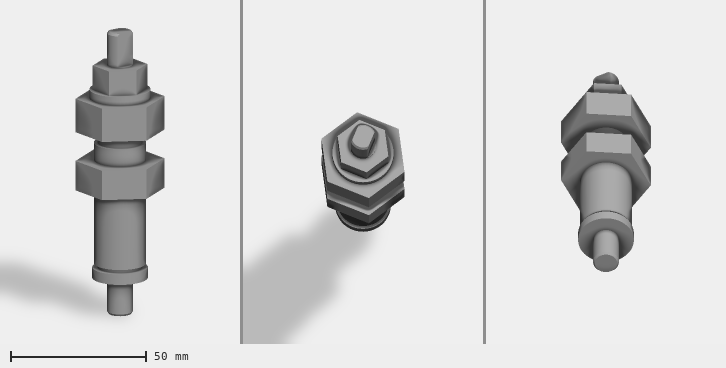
import cadquery as cq
import math

total_height = 108.0

collar_bottom = 13.7
collar_top = 17.7
thread_bottom = 19.2
locknut_bottom = 47.5
locknut_top = 58.7
thread_top = 65.3
head_bottom = 69.7
head_top = 82.5
disc_top = 85.7
small_hex_top = 95.0

shaft_diameter = 9.5
collar_diameter = 20.5
thread_diameter = 19.2
neck_diameter = 16.6
disc_diameter = 22.5
nut_across_flats = 28.6
small_hex_across_flats = 17.5

flats_width = 6.5
flats_bottom = small_hex_top + 0.3
end_chamfer_radial = 0.6
end_chamfer_height = 0.9


def cylinder(diameter, bottom, top):
    """Vertical cylinder on the Z axis between two levels."""
    return cq.Workplane("XY").workplane(offset=bottom).circle(diameter / 2).extrude(top - bottom)


def hexagon(across_flats, bottom, top):
    """Vertical hexagonal prism with corners on the X axis and flats facing Y."""
    across_corners = across_flats / math.cos(math.radians(30))
    return cq.Workplane("XY").workplane(offset=bottom).polygon(6, across_corners).extrude(top - bottom)


def make_housing():
    """Threaded sleeve with relief necks, a hexagonal head and a shaft bore."""
    lower_neck = cylinder(neck_diameter, collar_top, thread_bottom)
    thread = cylinder(thread_diameter, thread_bottom, thread_top)
    upper_neck = cylinder(neck_diameter, thread_top, head_bottom)
    head = hexagon(nut_across_flats, head_bottom, head_top)
    disc = cylinder(disc_diameter, head_top, disc_top)
    small_hex = hexagon(small_hex_across_flats, disc_top, small_hex_top)
    bore = cylinder(shaft_diameter, collar_top, small_hex_top)
    sleeve = lower_neck.union(thread).union(upper_neck)
    return sleeve.union(head).union(disc).union(small_hex).cut(bore)


def make_locknut():
    """Hexagonal nut seated on the housing thread."""
    bore = cylinder(thread_diameter, locknut_bottom, locknut_top)
    return hexagon(nut_across_flats, locknut_bottom, locknut_top).cut(bore)


def make_shaft():
    """Through shaft with chamfered ends, a stop collar and two flats at the top."""
    radius = shaft_diameter / 2
    end_radius = radius - end_chamfer_radial
    profile = [
        (0, 0),
        (end_radius, 0),
        (radius, end_chamfer_height),
        (radius, total_height - end_chamfer_height),
        (end_radius, total_height),
        (0, total_height),
    ]
    rod = cq.Workplane("XZ").polyline(profile).close().revolve(360, (0, 0, 0), (0, 1, 0))
    collar = cylinder(collar_diameter, collar_bottom, collar_top)

    flats_height = total_height - flats_bottom
    flats_plane = cq.Workplane("XY").workplane(offset=flats_bottom)
    outside = flats_plane.rect(shaft_diameter, shaft_diameter).extrude(flats_height)
    between = flats_plane.rect(flats_width, shaft_diameter).extrude(flats_height)
    return rod.union(collar).cut(outside.cut(between))


housing = make_housing()
locknut = make_locknut()
shaft = make_shaft()

result = cq.Compound.makeCompound([body.solids().val() for body in (housing, locknut, shaft)])